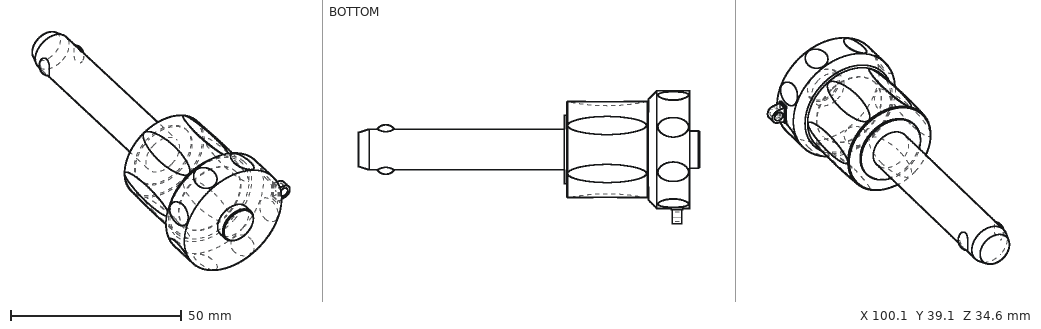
import cadquery as cq
import math

tip_length = 3.1
ball_x = 8.0
collar_start = 60.5
grip_start = 61.1
grip_end = 84.8
head_start = 85.1
head_rim_start = 87.6
head_end = 97.2
total_length = 100.1

tip_radius = 5.0
pin_radius = 6.0
collar_radius = 10.1
grip_end_radius = 14.1
grip_middle_radius = 14.4
neck_radius = 11.0
grip_chamfer = 0.3
head_front_radius = 14.8
head_radius = 17.3
button_radius = 5.5
button_chamfer = 0.3

ball_radius = 3.1
ball_offset = 4.2

scoop_half_width = 3.1
flute_count = 6
flute_half_length = 11.5
flute_depth = 1.5
dimple_count = 8
dimple_x = 92.4
dimple_half_length = 4.5
dimple_depth = 1.3

eye_x = 93.5
eye_thickness = 2.8
eye_y = 19.6
eye_outer_radius = 2.2
eye_hole_radius = 1.4
eye_root_half_height = 2.5
eye_base_top = 17.7
eye_base_half_height = 2.8
eye_base_thickness = 3.4
eye_embed_y = 16.0


def turned_body():
    """Pin, collar, barrel-shaped grip, head and push button as one revolved outline."""
    grip_middle = (grip_start + grip_end) / 2
    return (
        cq.Workplane("XY")
        .lineTo(0, tip_radius)
        .lineTo(tip_length, pin_radius)
        .lineTo(collar_start, pin_radius)
        .lineTo(collar_start, collar_radius)
        .lineTo(grip_start, collar_radius)
        .lineTo(grip_start, grip_end_radius - grip_chamfer)
        .lineTo(grip_start + grip_chamfer, grip_end_radius)
        .threePointArc((grip_middle, grip_middle_radius), (grip_end, grip_end_radius))
        .lineTo(grip_end, neck_radius)
        .lineTo(head_start, neck_radius)
        .lineTo(head_start, head_front_radius)
        .lineTo(head_rim_start, head_radius)
        .lineTo(head_end, head_radius)
        .lineTo(head_end, button_radius)
        .lineTo(total_length - button_chamfer, button_radius)
        .lineTo(total_length, button_radius - button_chamfer)
        .lineTo(total_length, 0)
        .close()
        .revolve(360, (0, 0, 0), (1, 0, 0))
    )


def scoop_cutter(center_x, half_length, depth, surface_radius, end_radius):
    """Spindle, turned about a line parallel to X, that cuts a scoop on the -Y side."""
    edge_height = math.sqrt(surface_radius**2 - scoop_half_width**2)
    floor_radius = surface_radius - depth
    edge_depth = edge_height - floor_radius
    spindle_radius = (scoop_half_width**2 + edge_depth**2) / (2 * edge_depth)
    axis_y = -(floor_radius + spindle_radius)
    return (
        cq.Workplane("XY")
        .moveTo(center_x - half_length, axis_y)
        .lineTo(center_x - half_length, -end_radius)
        .threePointArc((center_x, -floor_radius), (center_x + half_length, -end_radius))
        .lineTo(center_x + half_length, axis_y)
        .close()
        .revolve(360, (0, axis_y, 0), (1, axis_y, 0))
    )


def cut_around(body, cutter, count, first_angle):
    """Cut equally spaced copies of the cutter around the pin axis."""
    for index in range(count):
        angle = first_angle + index * 360 / count
        body = body.cut(cutter.rotate((0, 0, 0), (1, 0, 0), angle))
    return body


def locking_ball(side):
    return cq.Workplane("XY").sphere(ball_radius).translate((ball_x, side * ball_offset, 0))


def slab(thickness):
    """YZ workplane at the near face of a slab centred on the eye."""
    return cq.Workplane("YZ", origin=(eye_x - thickness / 2, 0, 0))


def lanyard_eye():
    """Pierced, rounded tab on a thin base that is sunk into the head."""
    base_height = eye_base_top - eye_embed_y
    base = (
        slab(eye_base_thickness)
        .center(eye_embed_y + base_height / 2, 0)
        .rect(base_height, 2 * eye_base_half_height)
        .extrude(eye_base_thickness)
    )
    root_distance = math.hypot(eye_y - eye_base_top, eye_root_half_height)
    root_angle = math.atan2(eye_root_half_height, eye_base_top - eye_y)
    tangent_angle = root_angle - math.acos(eye_outer_radius / root_distance)
    tangent_y = eye_y + eye_outer_radius * math.cos(tangent_angle)
    tangent_z = eye_outer_radius * math.sin(tangent_angle)
    tab = (
        slab(eye_thickness)
        .moveTo(eye_embed_y, -eye_root_half_height)
        .lineTo(eye_base_top, -eye_root_half_height)
        .lineTo(tangent_y, -tangent_z)
        .threePointArc((eye_y + eye_outer_radius, 0), (tangent_y, tangent_z))
        .lineTo(eye_base_top, eye_root_half_height)
        .lineTo(eye_embed_y, eye_root_half_height)
        .close()
        .extrude(eye_thickness)
    )
    hole = slab(eye_thickness).center(eye_y, 0).circle(eye_hole_radius).extrude(eye_thickness)
    return tab.cut(hole).union(base)


flute_x = (grip_start + grip_end) / 2
flute = scoop_cutter(flute_x, flute_half_length, flute_depth, grip_middle_radius, grip_end_radius)
dimple = scoop_cutter(dimple_x, dimple_half_length, dimple_depth, head_radius, head_radius)

result = turned_body()
result = cut_around(result, flute, flute_count, 0)
result = cut_around(result, dimple, dimple_count, 180 / dimple_count)
for side in (-1, 1):
    result = result.union(locking_ball(side))
result = result.union(lanyard_eye())